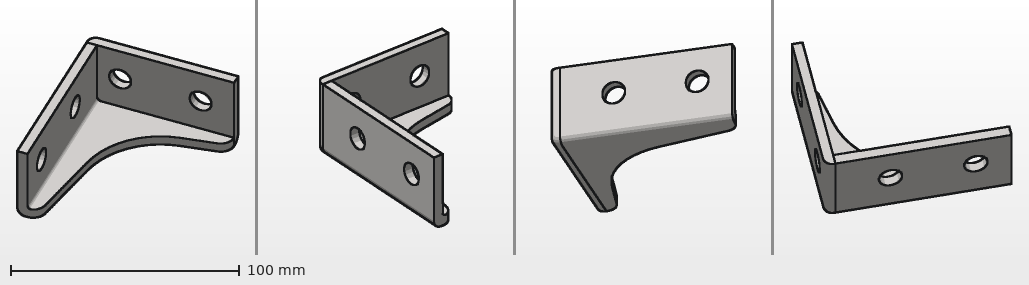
import cadquery as cq
import math

length_x = 69.85
length_y = 83.35
height = 36.5

side_wall = 4.9
back_wall = 4.75
floor = 4.75

outer_radius = 4.0
inner_radius = 2.0

hole_diameter = 10.3
hole_inset = 15.9
hole_spacing = 38.1

web_lean = math.radians(10)
tip_radius = 6.3
web_corner_radius = 37.9


def box_between(low, high):
    """Box spanning two opposite corner points."""
    size = [end - start for start, end in zip(low, high)]
    return cq.Workplane("XY").box(*size, centered=False).translate(low)


def make_envelope():
    """Block of the bracket's outer size, rounded on the three edges at its outer corner."""
    block = box_between((0, -length_y, 0), (length_x, 0, height))
    upright_edge = cq.selectors.NearestToPointSelector((0, 0, height / 2))
    side_edge = cq.selectors.NearestToPointSelector((0, -length_y / 2, 0))
    back_edge = cq.selectors.NearestToPointSelector((length_x / 2, 0, 0))
    return block.edges(upright_edge + side_edge + back_edge).fillet(outer_radius)


def make_web_blank():
    """Web-shaped prism: two leaning edges, rounded at the tips and at the inner corner."""
    tip_across = tip_radius * math.cos(web_lean)
    tip_along = tip_radius * math.sin(web_lean)
    x_tip_center = length_x - tip_radius
    y_tip_center = tip_radius - length_y
    x_tip_end = (x_tip_center + tip_along, -back_wall - tip_across)
    y_tip_end = (side_wall + tip_across, y_tip_center - tip_along)

    slope = math.tan(web_lean)
    run_x = x_tip_end[0] - y_tip_end[0]
    run_y = x_tip_end[1] - y_tip_end[1]
    rise = (run_y - slope * run_x) / (1 - slope**2)
    crossing = (y_tip_end[0] + slope * rise, y_tip_end[1] + rise)

    mid_angle = (math.pi / 2 - web_lean) / 2
    mid_short = tip_radius * math.sin(mid_angle)
    mid_long = tip_radius * math.cos(mid_angle)
    blank = (
        cq.Workplane("XY")
        .moveTo(0, 0)
        .lineTo(0, -length_y)
        .lineTo(side_wall, -length_y)
        .threePointArc((side_wall + mid_short, y_tip_center - mid_long), y_tip_end)
        .lineTo(*crossing)
        .lineTo(*x_tip_end)
        .threePointArc((x_tip_center + mid_long, -back_wall - mid_short), (length_x, -back_wall))
        .lineTo(length_x, 0)
        .close()
        .extrude(height)
    )
    inner_corner = cq.selectors.NearestToPointSelector((*crossing, height / 2))
    return blank.edges(inner_corner).fillet(web_corner_radius)


def drill_holes(body, plane, first_hole):
    """Two through holes in a wall; the first position is measured along the wall."""
    hole_z = height - hole_inset
    centers = [(first_hole + i * hole_spacing, hole_z) for i in range(2)]
    drill_depth = side_wall + back_wall
    drill = cq.Workplane(plane).pushPoints(centers).circle(hole_diameter / 2)
    return body.cut(drill.extrude(drill_depth, both=True))


def make_back_plate():
    """Flat plate along X, including the rounded upright corner."""
    slab = box_between((0, -back_wall, 0), (length_x, 0, height))
    plate = make_envelope().intersect(slab)
    return drill_holes(plate, "XZ", length_x - hole_inset - hole_spacing)


def make_angle_bracket():
    """Side wall along Y with the floor web, butted against the back plate."""
    wall_and_web = make_envelope().intersect(make_web_blank())
    wall_and_web = wall_and_web.intersect(
        box_between((0, -length_y, 0), (length_x, -back_wall, height))
    )

    space = box_between((side_wall, -length_y, floor), (length_x, -back_wall, height))
    space = space.edges("|Y and <X and <Z").fillet(inner_radius)
    return drill_holes(wall_and_web.cut(space), "YZ", hole_inset - length_y)


back_plate = make_back_plate()
angle_bracket = make_angle_bracket()

result = cq.Compound.makeCompound([back_plate.solids().val(), angle_bracket.solids().val()])